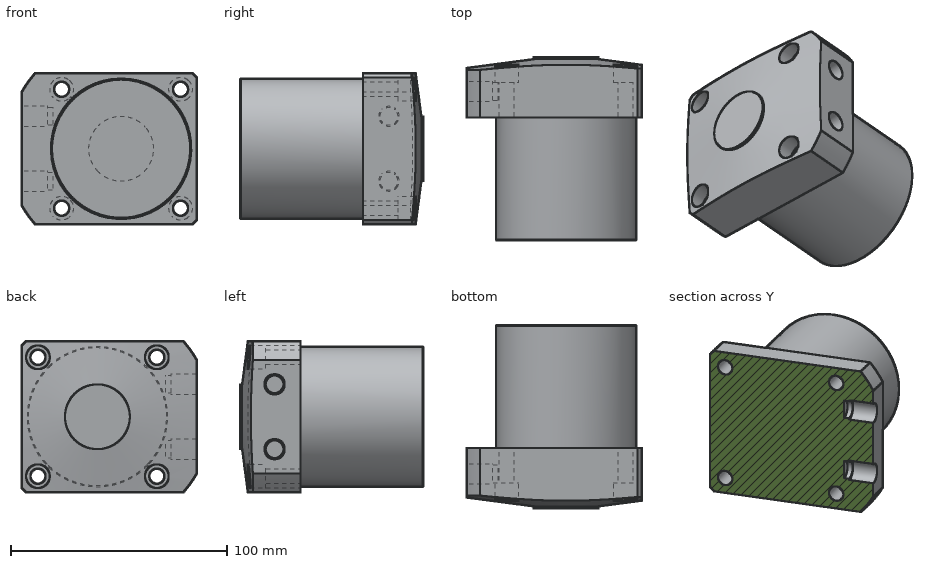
import cadquery as cq
import math

total_length = 85.0
body_diameter = 64.9
body_length = 56.95
body_chamfer = 0.5

flange_left = 46.0
flange_right = 35.0
flange_height = 2 * flange_right
left_corner_radius = 52.95
right_corner_radius = 48.1

boss_diameter = 30.0
boss_height = 1.0
boss_radius = boss_diameter / 2
cone_angle = 7.5
envelope_margin = 0.85

hole_pitch = 55.0
hole_diameter = 6.9
counterbore_diameter = 11.0
counterbore_floor_y = 73.1

port_pitch = 30.0
port_offset = 12.0
port_diameter = 9.35
port_depth = 11.9
port_core_diameter = 8.25
port_core_depth = 14.45


def y_cylinder(diameter, start_y, end_y, x=0, z=0):
    """Cylinder parallel to Y between two Y positions."""
    return cq.Workplane(
        cq.Solid.makeCylinder(
            diameter / 2, end_y - start_y, cq.Vector(x, start_y, z), cq.Vector(0, 1, 0)
        )
    )


def make_flange():
    """Block with corners turned about the body axis and a conical back."""
    half_height = flange_height / 2
    left_corner_x = math.sqrt(left_corner_radius**2 - half_height**2)
    left_corner_z = math.sqrt(left_corner_radius**2 - flange_left**2)
    right_corner_x = math.sqrt(right_corner_radius**2 - half_height**2)
    right_corner_z = math.sqrt(right_corner_radius**2 - flange_right**2)

    def arc_middle(radius, start, end):
        angle = (math.atan2(start[1], start[0]) + math.atan2(end[1], end[0])) / 2
        return radius * math.cos(angle), radius * math.sin(angle)

    right_edge = (flange_right, right_corner_z)
    right_top = (right_corner_x, half_height)
    left_top = (-left_corner_x, half_height)
    left_edge = (-flange_left, left_corner_z)
    upper_half = (
        cq.Workplane("XZ")
        .moveTo(-flange_left, 0)
        .lineTo(flange_right, 0)
        .lineTo(*right_edge)
        .threePointArc(arc_middle(right_corner_radius, right_edge, right_top), right_top)
        .lineTo(*left_top)
        .threePointArc(arc_middle(left_corner_radius, left_top, left_edge), left_edge)
        .close()
        .extrude(-total_length)
    )
    block = upper_half.union(upper_half.mirror("XY")).clean()

    envelope_radius = left_corner_radius + envelope_margin
    cone_base_y = total_length - boss_height
    rim_y = cone_base_y - (envelope_radius - boss_radius) * math.tan(math.radians(cone_angle))
    envelope = (
        cq.Workplane("XY")
        .moveTo(0, body_length)
        .lineTo(envelope_radius, body_length)
        .lineTo(envelope_radius, rim_y)
        .lineTo(boss_radius, cone_base_y)
        .lineTo(boss_radius, total_length)
        .lineTo(0, total_length)
        .close()
        .revolve(360, (0, 0, 0), (0, 1, 0))
    )
    return block.intersect(envelope)


def cut_mounting_holes(part):
    for x in (-hole_pitch / 2, hole_pitch / 2):
        for z in (-hole_pitch / 2, hole_pitch / 2):
            part = part.cut(y_cylinder(hole_diameter, body_length, total_length, x, z))
            part = part.cut(y_cylinder(counterbore_diameter, counterbore_floor_y, total_length, x, z))
    return part


def cut_ports(part):
    """Blind ports, each stepping down to a narrower core at the bottom."""
    port_y = body_length + port_offset
    inward = cq.Vector(1, 0, 0)
    port_steps = ((port_diameter, port_depth), (port_core_diameter, port_core_depth))
    for z in (-port_pitch / 2, port_pitch / 2):
        mouth = cq.Vector(-flange_left, port_y, z)
        for diameter, depth in port_steps:
            part = part.cut(cq.Workplane(cq.Solid.makeCylinder(diameter / 2, depth, mouth, inward)))
    return part


body = y_cylinder(body_diameter, 0, body_length).faces("<Y").chamfer(body_chamfer)
flange = cut_ports(cut_mounting_holes(make_flange()))
result = body.union(flange)